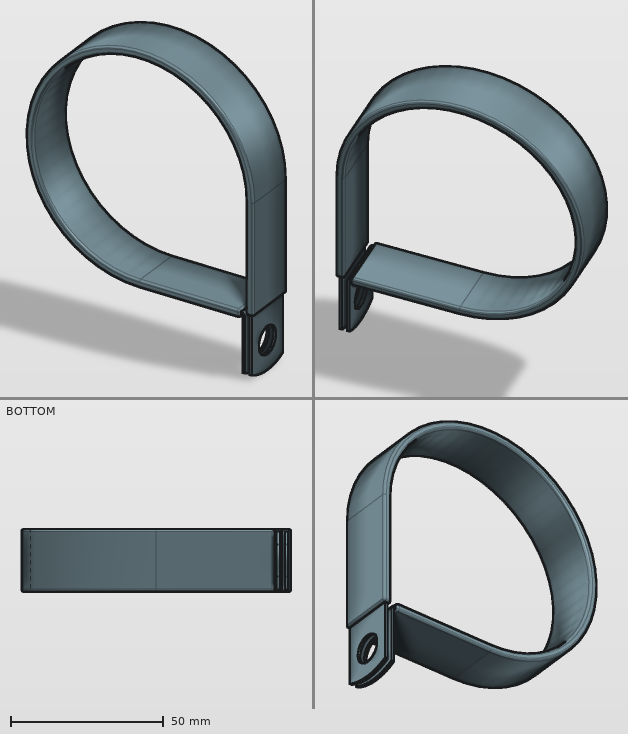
import cadquery as cq
import math

loop_radius = 44.1
clamp_height = 110.7
cushion_width = 20.6
cushion_thickness = 3.0
cushion_fillet = 0.9

strap_width = 19.0
strap_thickness = 1.0
bend_outer_radius = 1.7

lower_end_x = 38.8
upright_end_z = -42.2

hole_diameter = 10.4
hole_to_tip = 11.1
tip_radius = 21.6

mid_radius = loop_radius - cushion_thickness / 2
tip_z = loop_radius - clamp_height


def profile_plane(width):
    """XZ sketch plane from which a strap extruded by its width is centred on Y = 0."""
    return cq.Workplane("XZ", origin=(0, width / 2, 0))


def make_cushion():
    """Loop with a lower run and an upright run, all outer edges and end edges rounded."""
    inner_radius = loop_radius - cushion_thickness
    diagonal = math.sqrt(0.5)
    loop = (
        profile_plane(cushion_width)
        .moveTo(loop_radius, 0)
        .threePointArc((-loop_radius * diagonal, loop_radius * diagonal), (0, -loop_radius))
        .lineTo(lower_end_x, -loop_radius)
        .lineTo(lower_end_x, -inner_radius)
        .lineTo(0, -inner_radius)
        .threePointArc((-inner_radius * diagonal, inner_radius * diagonal), (inner_radius, 0))
        .lineTo(inner_radius, upright_end_z)
        .lineTo(loop_radius, upright_end_z)
        .close()
        .extrude(cushion_width)
    )
    end_corners = loop.edges("|Y").edges(cq.selectors.BoxSelector(
        (lower_end_x - cushion_thickness, -cushion_width, -loop_radius - cushion_thickness),
        (loop_radius + cushion_thickness, cushion_width, upright_end_z + cushion_thickness),
    ))
    return end_corners.add(loop.faces("|Y").edges()).fillet(cushion_fillet)


def make_tabs():
    """Bent tab on the lower run and straight tab on the upright run, rounded and drilled."""
    strap_top = -mid_radius + strap_thickness / 2
    strap_bottom = strap_top - strap_thickness
    bend_inner_radius = bend_outer_radius - strap_thickness
    bend_z = strap_top - bend_outer_radius
    tab_outer_x = lower_end_x + bend_outer_radius
    tab_inner_x = tab_outer_x - strap_thickness
    root_x = lower_end_x - cushion_thickness

    bent_tab = (
        profile_plane(strap_width)
        .moveTo(root_x, strap_top)
        .lineTo(lower_end_x, strap_top)
        .radiusArc((tab_outer_x, bend_z), bend_outer_radius)
        .lineTo(tab_outer_x, tip_z)
        .lineTo(tab_inner_x, tip_z)
        .lineTo(tab_inner_x, bend_z)
        .radiusArc((lower_end_x, strap_bottom), -bend_inner_radius)
        .lineTo(root_x, strap_bottom)
        .close()
        .extrude(strap_width)
    )
    root_z = upright_end_z + cushion_thickness
    straight_tab = cq.Workplane("XY").box(
        strap_thickness, strap_width, root_z - tip_z, centered=(True, True, False)
    ).translate((mid_radius, 0, tip_z))

    half_width = strap_width / 2
    corner_z = tip_z + tip_radius - math.sqrt(tip_radius**2 - half_width**2)
    side_outline = (
        cq.Workplane("YZ")
        .moveTo(-half_width, 0)
        .lineTo(-half_width, corner_z)
        .threePointArc((0, tip_z), (half_width, corner_z))
        .lineTo(half_width, 0)
        .close()
        .extrude(loop_radius)
    )
    hole = (
        cq.Workplane("YZ")
        .center(0, tip_z + hole_to_tip)
        .circle(hole_diameter / 2)
        .extrude(loop_radius)
    )
    return bent_tab.union(straight_tab).intersect(side_outline).cut(hole)


result = make_cushion().union(make_tabs())